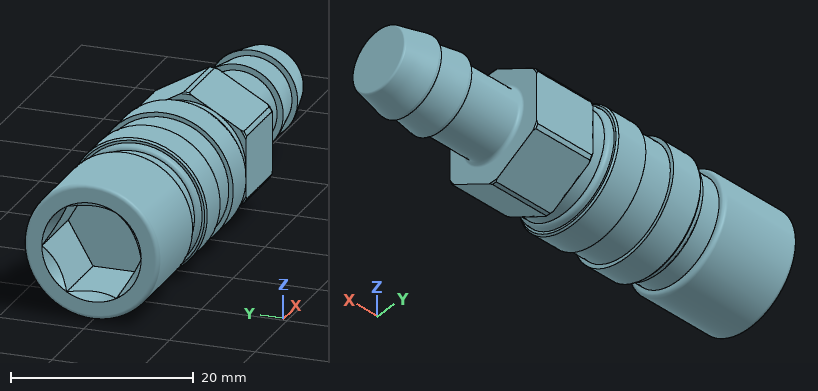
import cadquery as cq
import math

length = 55.15

sleeve_diameter = 15.85
sleeve_end = 10.85
sleeve_edge_radius = 0.5

neck_diameter = 14.0
step_diameter = 15.1
step_width = 0.95
step_edge_radius = (step_diameter - neck_diameter) / 2
band_diameter = 16.15
band_edge_chamfer = 0.2
collar_start = 14.4
band_width = 4.25
band_gap = 4.15
collar_width = 2 * band_width + band_gap
collar_end = collar_start + collar_width

hexagon_start = 29.65
hexagon_end = 38.05
hexagon_across_flats = 14.0
hexagon_corner_diameter = sleeve_diameter
hexagon_corner_chamfer = 0.15

stem_diameter = 9.05
stem_root_radius = 0.5
barb_diameter = 10.5
barb_starts = (46.1, 50.65)
barb_crest_width = 0.35
barb_tail_diameter = 9.15
tip_diameter = 8.55
tip_edge_radius = 0.3

socket_across_flats = 10.05
socket_depth = 8.3
lead_in_depth = 1.15


def cylinder(diameter, start, end):
    """Solid cylinder along X."""
    return cq.Workplane("YZ", origin=(start, 0, 0)).circle(diameter / 2).extrude(end - start)


def across_corners(across_flats):
    """Corner-to-corner size of a regular hexagon."""
    return across_flats / math.cos(math.pi / 6)


def hexagonal_prism(across_flats, start, end):
    """Solid hexagonal prism along X with two corners in the Y direction."""
    base = cq.Workplane("YZ", origin=(start, 0, 0)).polygon(6, across_corners(across_flats))
    return base.extrude(end - start)


def cone(start_diameter, end_diameter, start, end):
    """Solid cone frustum along X."""
    half_section = [(start, 0), (start, start_diameter / 2), (end, end_diameter / 2), (end, 0)]
    return cq.Workplane("XY").polyline(half_section).close().revolve(360, (0, 0, 0), (1, 0, 0))


def make_sleeve():
    return cylinder(sleeve_diameter, 0, sleeve_end).edges().fillet(sleeve_edge_radius)


def make_collar():
    steps = cylinder(step_diameter, collar_start - step_width, collar_end + step_width)
    collar = steps.edges().fillet(step_edge_radius)
    first_band = cylinder(band_diameter, collar_start, collar_start + band_width)
    last_band = cylinder(band_diameter, collar_end - band_width, collar_end)
    for band, outer_face in ((first_band, "<X"), (last_band, ">X")):
        collar = collar.union(band.faces(outer_face).chamfer(band_edge_chamfer))
    return collar


def make_wrench_hexagon():
    blank = cylinder(hexagon_corner_diameter, hexagon_start, hexagon_end)
    blank = blank.edges().chamfer(hexagon_corner_chamfer)
    prism = hexagonal_prism(hexagon_across_flats, hexagon_start, hexagon_end)
    corners_up = prism.rotate((0, 0, 0), (1, 0, 0), 90)
    return blank.intersect(corners_up)


def make_stem():
    """Plain stem that widens through a root fillet into the hexagon."""
    radius = stem_diameter / 2
    root_end = hexagon_end + stem_root_radius
    return (
        cq.Workplane("XY")
        .moveTo(hexagon_end, 0)
        .lineTo(hexagon_end, radius + stem_root_radius)
        .radiusArc((root_end, radius), -stem_root_radius)
        .lineTo(barb_starts[-1], radius)
        .lineTo(barb_starts[-1], 0)
        .close()
        .revolve(360, (0, 0, 0), (1, 0, 0))
    )


def make_barb(start, end, end_diameter):
    """Short cylindrical crest followed by a taper."""
    crest_end = start + barb_crest_width
    crest = cylinder(barb_diameter, start, crest_end)
    return crest.union(cone(barb_diameter, end_diameter, crest_end, end))


def make_hose_tail():
    first_start, last_start = barb_starts
    first_barb = make_barb(first_start, last_start, barb_tail_diameter)
    last_barb = make_barb(last_start, length, tip_diameter).faces(">X").edges().fillet(tip_edge_radius)
    return make_stem().union(first_barb).union(last_barb)


def make_socket():
    lead_in = cone(across_corners(socket_across_flats), socket_across_flats, 0, lead_in_depth)
    return hexagonal_prism(socket_across_flats, 0, socket_depth).union(lead_in)


neck = cylinder(neck_diameter, sleeve_end - sleeve_edge_radius, hexagon_start)

result = (
    make_sleeve()
    .union(neck)
    .union(make_collar())
    .union(make_wrench_hexagon())
    .union(make_hose_tail())
    .cut(make_socket())
)